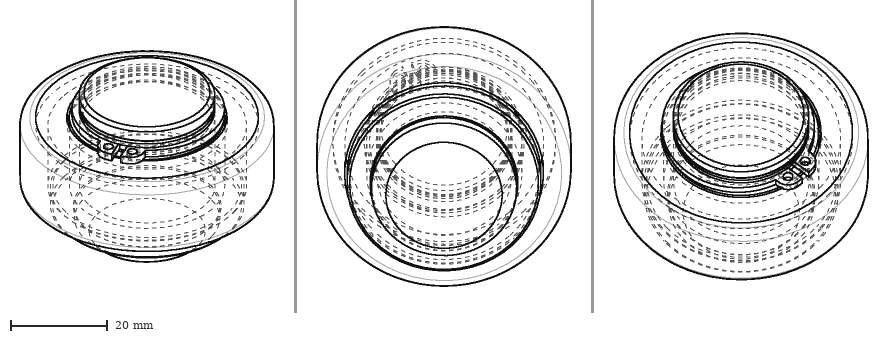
import cadquery as cq
import math

stud_height = 34.0
flange_bottom = 6.0
flange_top = 11.0
roller_bottom = 11.0
roller_top = 27.95

spigot_diameter = 30.0
spigot_chamfer = 3.0
spigot_root_flare = 0.25
flange_diameter = 40.0
flange_chamfer = 0.5
journal_diameter = 28.0
journal_chamfer_width = 1.0
journal_chamfer_height = journal_chamfer_width * math.tan(math.radians(30))
v_groove_root = 31.0
v_groove_depth = 0.25
v_groove_lower_width = 0.5
v_groove_upper_width = 0.25

clip_thickness = 1.65
clip_inner_diameter = 26.6
clip_outer_diameter = 31.5
clip_outer_offset = 0.8
clip_gap = 2.0
lug_hole_diameter = 2.0
lug_hole_x = 2.6
lug_hole_y = -15.5
lug_outer_x = 5.0
lug_corner_radius = 2.9
lug_tip_diameter = 36.0

roller_diameter = 52.5
roller_bore = 41.0
roller_fillet = 2.0
crown_radius = 500.05
cover_diameter = 46.0
cover_bore = 33.0
cover_thickness = 2.0
inner_ring_diameter = 32.0

roller_height = roller_top - roller_bottom
cover_bottom = roller_top - cover_thickness


def disc(diameter, bottom, height):
    return cq.Workplane("XY").workplane(offset=bottom).circle(diameter / 2).extrude(height)


def ring(outer_diameter, inner_diameter, bottom, height):
    return disc(outer_diameter, bottom, height).cut(disc(inner_diameter, bottom, height))


def make_stud():
    spigot_radius = spigot_diameter / 2
    flange_radius = flange_diameter / 2
    journal_radius = journal_diameter / 2
    profile = (
        cq.Workplane("XZ")
        .lineTo(spigot_radius - spigot_chamfer, 0)
        .lineTo(spigot_radius, spigot_chamfer)
        .lineTo(spigot_radius, flange_bottom - spigot_root_flare)
        .lineTo(spigot_radius + spigot_root_flare, flange_bottom)
        .lineTo(flange_radius - flange_chamfer, flange_bottom)
        .lineTo(flange_radius, flange_bottom + flange_chamfer)
        .lineTo(flange_radius, flange_top - flange_chamfer)
        .lineTo(flange_radius - flange_chamfer, flange_top)
        .lineTo(journal_radius, flange_top)
        .lineTo(journal_radius, v_groove_root - v_groove_lower_width)
        .lineTo(journal_radius - v_groove_depth, v_groove_root)
        .lineTo(journal_radius, v_groove_root + v_groove_upper_width)
        .lineTo(journal_radius, stud_height - journal_chamfer_height)
        .lineTo(journal_radius - journal_chamfer_width, stud_height)
        .lineTo(0, stud_height)
        .close()
    )
    stud = profile.revolve(360, (0, 0, 0), (0, 1, 0))
    clip_groove = ring(journal_diameter, clip_inner_diameter, roller_top, clip_thickness)
    return stud.cut(clip_groove)


def make_roller():
    crown_drop = crown_radius - math.sqrt(crown_radius**2 - (roller_height / 2) ** 2)
    tread_radius = roller_diameter / 2
    rim_radius = tread_radius - crown_drop
    middle = (roller_bottom + roller_top) / 2
    blank = (
        cq.Workplane("XZ")
        .moveTo(0, roller_bottom)
        .lineTo(rim_radius, roller_bottom)
        .threePointArc((tread_radius, middle), (rim_radius, roller_top))
        .lineTo(0, roller_top)
        .close()
        .revolve(360, (0, 0, 0), (0, 1, 0))
    )
    rounded = blank.faces("<Z or >Z").edges().fillet(roller_fillet)
    bore = disc(roller_bore, roller_bottom, roller_height)
    cover_recess = disc(cover_diameter, cover_bottom, cover_thickness)
    return rounded.cut(bore).cut(cover_recess)


def make_cover():
    return ring(cover_diameter, cover_bore, cover_bottom, cover_thickness)


def make_inner_ring():
    return ring(inner_ring_diameter, journal_diameter, flange_top, roller_top - flange_top)


def make_lug(side):
    tip_radius = lug_tip_diameter / 2
    corner_x = lug_outer_x - lug_corner_radius
    tangent_angle = math.asin(corner_x / (tip_radius - lug_corner_radius))
    corner_y = -(tip_radius - lug_corner_radius) * math.cos(tangent_angle)

    def polar(radius, angle, center_x=0, center_y=0):
        return (side * (center_x + radius * math.sin(angle)), center_y - radius * math.cos(angle))

    corner_middle_angle = (tangent_angle + math.pi / 2) / 2
    corner_middle = polar(lug_corner_radius, corner_middle_angle, corner_x, corner_y)
    return (
        cq.Workplane("XY")
        .workplane(offset=roller_top)
        .lineTo(side * lug_outer_x, 0)
        .lineTo(side * lug_outer_x, corner_y)
        .threePointArc(corner_middle, polar(tip_radius, tangent_angle))
        .threePointArc(polar(tip_radius, tangent_angle / 2), (0, -tip_radius))
        .close()
        .extrude(clip_thickness)
    )


def make_clip():
    plane = cq.Workplane("XY").workplane(offset=roller_top)
    clip = plane.center(0, clip_outer_offset).circle(clip_outer_diameter / 2).extrude(clip_thickness)

    for side in (-1, 1):
        clip = clip.union(make_lug(side))

    bore = disc(clip_inner_diameter, roller_top, clip_thickness)
    gap = (
        plane.center(0, -lug_tip_diameter / 4)
        .rect(clip_gap, lug_tip_diameter / 2)
        .extrude(clip_thickness)
    )
    lug_holes = (
        plane.pushPoints([(-lug_hole_x, lug_hole_y), (lug_hole_x, lug_hole_y)])
        .circle(lug_hole_diameter / 2)
        .extrude(clip_thickness)
    )
    return clip.cut(bore).cut(gap).cut(lug_holes)


stud = make_stud()
roller = make_roller()
cover = make_cover()
inner_ring = make_inner_ring()
clip = make_clip()

result = cq.Compound.makeCompound(
    [stud.val(), roller.val(), cover.val(), inner_ring.val(), clip.val()]
)